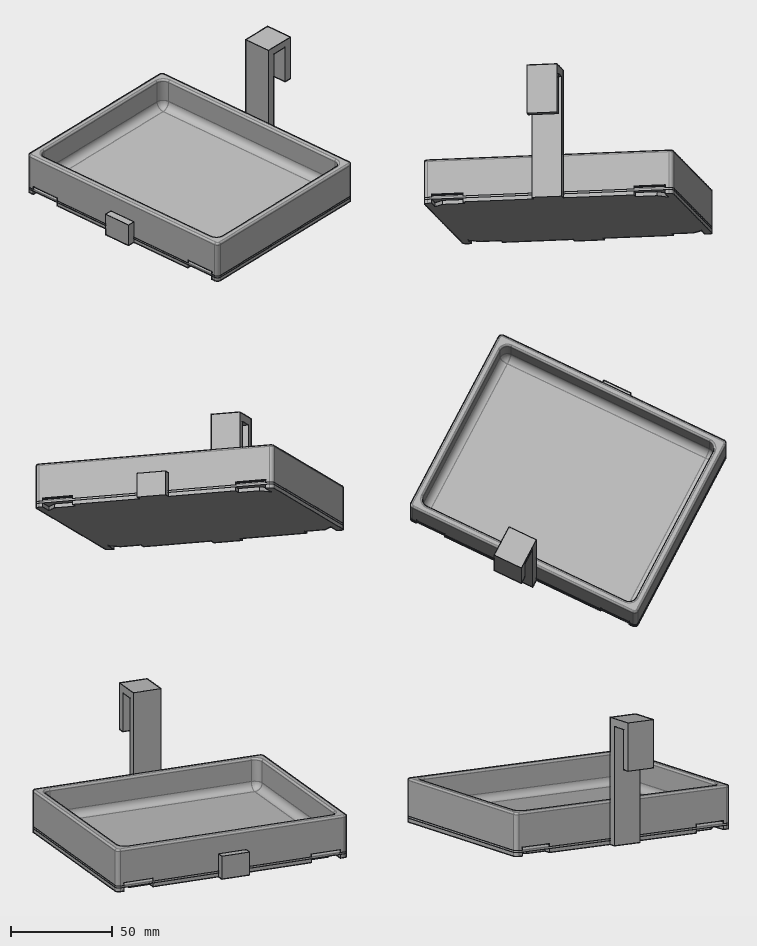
import cadquery as cq

LENGTH = 125.0
WIDTH = 100.0
CORNER_RADIUS = 2.0

BASE_THICKNESS = 2.0
PLATE_THICKNESS = 1.0
TOTAL_HEIGHT = 22.0
PLATE_TOP = BASE_THICKNESS + PLATE_THICKNESS
TRAY_HEIGHT = TOTAL_HEIGHT - PLATE_TOP

WALL = 4.0
CAVITY_FLOOR_Z = 6.0
CAVITY_RADIUS = 4.0
RIM_RADIUS = 1.0

TAB_INNER_X = 42.9
TAB_OUTER_X = 58.5
TAB_WIDTH = TAB_OUTER_X - TAB_INNER_X
TAB_CENTRE_X = (TAB_OUTER_X + TAB_INNER_X) / 2
TAB_RISE = 1.0
TAB_DEPTH = 2.0
TAB_CLEARANCE = 0.5
POCKET_DEPTH = WALL
POCKET_BEVEL = 4.8

SLIVER = 0.001

HANGER_WIDTH = 15.0
HOOK_TOP_Z = 64.0
HOOK_THICKNESS = 4.0
HOOK_GAP = 8.4
HOOK_DROP = 24.2
STOP_THICKNESS = HOOK_THICKNESS
STOP_HEIGHT = 12.0


def rounded_slab(height, bottom_z):
    """Full-footprint slab with rounded vertical corners."""
    slab = cq.Workplane("XY").box(LENGTH, WIDTH, height, centered=(True, True, False))
    return slab.edges("|Z").fillet(CORNER_RADIUS).translate((0, 0, bottom_z))


def at_four_places(feature):
    """The feature at +X front, mirrored to the -X side and to the back edge."""
    front_pair = [feature, feature.mirror("YZ")]
    return front_pair + [copy.mirror("XZ") for copy in front_pair]


def tab_block(height):
    """Block on the snap plate, flush with the front edge, as wide and deep as one tab."""
    block = cq.Workplane("XY").box(TAB_WIDTH, TAB_DEPTH, height, centered=(True, False, False))
    return block.translate((TAB_CENTRE_X, -WIDTH / 2, PLATE_TOP))


def snap_tab():
    """Tab standing on the snap plate, with a rounded lead-in on its outer top edge."""
    return tab_block(TAB_RISE).faces("<Y").edges(">Z").fillet(TAB_RISE - SLIVER)


def tab_opening():
    """Notch in the tray wall that takes one snap tab."""
    return tab_block(TAB_RISE + TAB_CLEARANCE)


def base_pocket():
    """Pocket through the base below one snap tab, deeper towards the outer side."""
    front_y = -WIDTH / 2
    back_y = front_y + POCKET_DEPTH
    outline = [
        (TAB_INNER_X, front_y),
        (TAB_OUTER_X, front_y),
        (TAB_OUTER_X, back_y + POCKET_BEVEL),
        (TAB_OUTER_X - POCKET_BEVEL, back_y),
        (TAB_INNER_X, back_y),
    ]
    return cq.Workplane("XY").polyline(outline).close().extrude(BASE_THICKNESS)


def make_tray():
    cavity = cq.Workplane("XY").box(
        LENGTH - 2 * WALL,
        WIDTH - 2 * WALL,
        TOTAL_HEIGHT - CAVITY_FLOOR_Z,
        centered=(True, True, False),
    )
    cavity = cavity.edges("|Z").fillet(CAVITY_RADIUS)
    cavity = cavity.faces("<Z").edges().fillet(CAVITY_RADIUS - SLIVER)
    tray = rounded_slab(TRAY_HEIGHT, PLATE_TOP).cut(cavity.translate((0, 0, CAVITY_FLOOR_Z)))
    tray = tray.faces(">Z").edges().fillet(RIM_RADIUS)
    for opening in at_four_places(tab_opening()):
        tray = tray.cut(opening)
    return tray


def make_snap_plate():
    plate = rounded_slab(PLATE_THICKNESS, BASE_THICKNESS)
    for tab in at_four_places(snap_tab()):
        plate = plate.union(tab)
    return plate


def hook():
    """Upright behind the tray, bent over backwards at the top."""
    inner_y = WIDTH / 2
    upright_y = inner_y + HOOK_THICKNESS
    leg_y = upright_y + HOOK_GAP
    outer_y = leg_y + HOOK_THICKNESS
    underside_z = HOOK_TOP_Z - HOOK_THICKNESS
    leg_end_z = HOOK_TOP_Z - HOOK_DROP
    profile = [
        (inner_y, 0),
        (inner_y, HOOK_TOP_Z),
        (outer_y, HOOK_TOP_Z),
        (outer_y, leg_end_z),
        (leg_y, leg_end_z),
        (leg_y, underside_z),
        (upright_y, underside_z),
        (upright_y, 0),
    ]
    return cq.Workplane("YZ").polyline(profile).close().extrude(HANGER_WIDTH / 2, both=True)


def front_stop():
    """Block that rises in front of the tray."""
    stop = cq.Workplane("XY").box(
        HANGER_WIDTH, STOP_THICKNESS, STOP_HEIGHT, centered=(True, False, False)
    )
    return stop.translate((0, -WIDTH / 2 - STOP_THICKNESS, 0))


def make_hanger_base():
    base = rounded_slab(BASE_THICKNESS, 0)
    for pocket in at_four_places(base_pocket()):
        base = base.cut(pocket)
    return base.union(hook()).union(front_stop())


tray = make_tray()
snap_plate = make_snap_plate()
hanger_base = make_hanger_base()
result = cq.Compound.makeCompound([tray.val(), snap_plate.val(), hanger_base.val()])